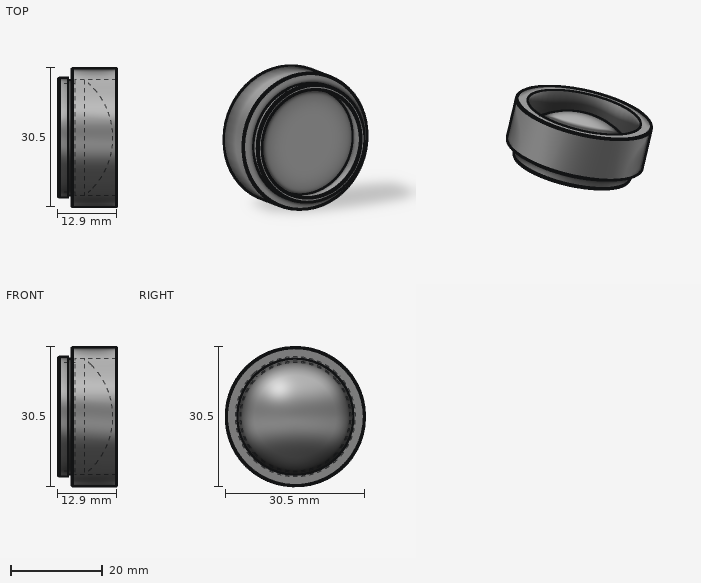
import cadquery as cq
import math


total_length = 12.95
nose_chamfer_length = 0.45
nose_end = 2.24
barrel_start = 3.03

barrel_radius = 30.48 / 2
barrel_chamfer = 0.25
nose_radius = 26.3 / 2
nose_chamfer_angle = math.radians(30)
nose_tip_radius = nose_radius - nose_chamfer_length * math.tan(nose_chamfer_angle)
relief_radius = 12.68

aperture_radius = 11.9
aperture_chamfer = 0.27
seat_position = 3.8

lens_radius = 25.4 / 2
lens_edge_thickness = 2.0
lens_curvature_radius = 16.1


def revolve_about_x(profile):
    """Turn a closed profile, drawn as (axial position, radius), about the X axis."""
    return profile.close().revolve(360, (0, 0, 0), (1, 0, 0))


def make_housing():
    """Barrel with an externally relieved nose, a front lip and a bore open at the rear."""
    profile = (
        cq.Workplane("XY")
        .moveTo(0, aperture_radius + aperture_chamfer)
        .lineTo(0, nose_tip_radius)
        .lineTo(nose_chamfer_length, nose_radius)
        .lineTo(nose_end, nose_radius)
        .lineTo(nose_end, relief_radius)
        .lineTo(barrel_start, relief_radius)
        .lineTo(barrel_start, barrel_radius - barrel_chamfer)
        .lineTo(barrel_start + barrel_chamfer, barrel_radius)
        .lineTo(total_length - barrel_chamfer, barrel_radius)
        .lineTo(total_length, barrel_radius - barrel_chamfer)
        .lineTo(total_length, lens_radius)
        .lineTo(seat_position, lens_radius)
        .lineTo(seat_position, aperture_radius)
        .lineTo(aperture_chamfer, aperture_radius)
    )
    return revolve_about_x(profile)


def make_lens():
    """Lens with its flat face on the lip and its spherical face toward the rear."""
    rim_position = seat_position + lens_edge_thickness
    sphere_center = rim_position - math.sqrt(lens_curvature_radius**2 - lens_radius**2)
    apex_position = sphere_center + lens_curvature_radius
    half_angle = math.asin(lens_radius / lens_curvature_radius) / 2
    arc_middle = (
        sphere_center + lens_curvature_radius * math.cos(half_angle),
        lens_curvature_radius * math.sin(half_angle),
    )
    profile = (
        cq.Workplane("XY")
        .moveTo(seat_position, 0)
        .lineTo(seat_position, lens_radius)
        .lineTo(rim_position, lens_radius)
        .threePointArc(arc_middle, (apex_position, 0))
    )
    return revolve_about_x(profile)


housing = make_housing()
lens = make_lens()

result = cq.Compound.makeCompound([housing.val(), lens.val()])